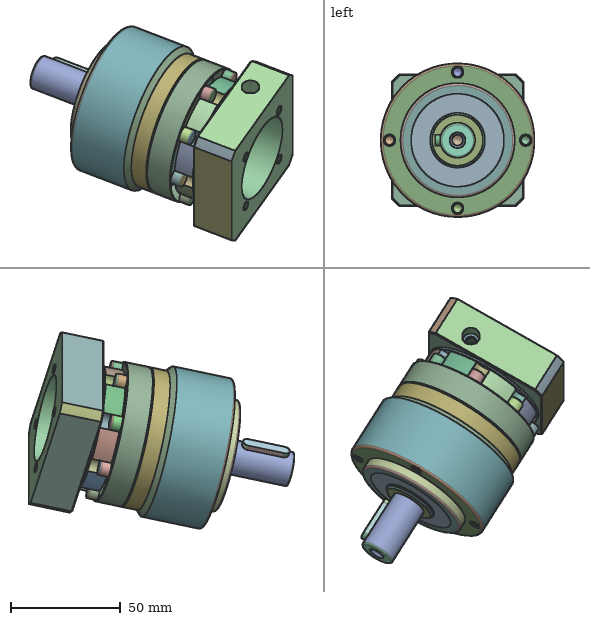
import cadquery as cq
import math


shaft_radius = 8.0
shaft_fillet = 0.8
collar_x = 28.3
collar_radius = 12.5
collar_chamfer = 0.9
disc_radius = 21.1
center_mouth_radius = 3.6
center_drill_radius = 2.4
center_drill_depth = 12.7

key_width = 5.0
key_height = 5.0
key_start_x = 2.9
key_length = 22.0
key_top_y = 10.0

pilot_x = 30.0
pilot_radius = 26.0
pilot_fillet = 1.0
flange_x = 34.9
flange_radius = 35.0
flange_fillet = 1.0
taper_x = 62.5
waist_radius = 32.5
joint_x = 72.9
edge_chamfer = 0.3
mount_hole_circle = 31.0
mount_hole_radius = 2.1
mount_hole_mouth_radius = 2.7
mount_hole_depth = 11.5
mount_hole_count = 4

rear_flange_end_x = 85.0
hub_radius = 28.5
hub_end_x = 94.5
screw_count = 8
screw_circle = 28.6
screw_head_radius = 3.5
screw_head_length = 5.0
screw_head_fillet = 0.6
pocket_radius = 3.6

plate_x = 95.5
plate_end_x = 115.2
plate_width = 60.1
plate_corner_radius = 40.0
plate_edge_chamfer = 0.5
bore_radius = 20.0
boss_radius = 2.2
boss_spacing = 32.6
overall_length = 115.5

access_x = 102.9
access_y = 11.9
access_radius = 4.0
access_floor_z = 22.0
access_step_radius = 2.7
access_step_depth = 1.2
access_drill_radius = 2.1

DRILL_POINT_ANGLE = 118
CENTER_CONE_ANGLE = 60
COUNTERSINK_ANGLE = 90


def cone_length(radius_drop, full_angle):
    """Axial length over which a cone of the given full angle loses radius_drop."""
    return radius_drop / math.tan(math.radians(full_angle / 2))


def revolved(profile):
    """Turn a closed outline of (x, radius) points about the X axis."""
    return cq.Workplane("XY").polyline(profile).close().revolve(360, (0, 0, 0), (1, 0, 0))


def rod(start_x, length, radius):
    """Cylinder on the gearbox axis."""
    return cq.Workplane("YZ", origin=(start_x, 0, 0)).circle(radius).extrude(length)


def drilled_hole(start_x, mouth_radius, mouth_angle, drill_radius, depth):
    """Blind hole along X with a conical mouth and a drill-point bottom."""
    mouth_length = cone_length(mouth_radius - drill_radius, mouth_angle)
    point_length = cone_length(drill_radius, DRILL_POINT_ANGLE)
    return revolved([
        (start_x, 0),
        (start_x, mouth_radius),
        (start_x + mouth_length, drill_radius),
        (start_x + depth, drill_radius),
        (start_x + depth + point_length, 0),
    ])


def around_axis(shape, radius, count):
    """Copies of a shape moved out to +Z by radius, spaced evenly around the X axis."""
    moved = shape.translate((0, 0, radius))
    return [moved.rotate((0, 0, 0), (1, 0, 0), i * 360 / count) for i in range(count)]


def make_key():
    key_bottom_y = key_top_y - key_height
    center_x = key_start_x + key_length / 2
    return (
        cq.Workplane("XZ", origin=(center_x, key_bottom_y, 0))
        .slot2D(key_length, key_width)
        .extrude(-key_height)
    )


def make_shaft(key):
    tip = rod(0, collar_x, shaft_radius).faces("<X").edges().fillet(shaft_fillet)
    collar = rod(collar_x, pilot_x - collar_x, collar_radius)
    collar = collar.faces("<X").edges().chamfer(collar_chamfer)
    disc = rod(pilot_x, flange_x - pilot_x, disc_radius)
    center_hole = drilled_hole(
        0, center_mouth_radius, CENTER_CONE_ANGLE, center_drill_radius, center_drill_depth
    )
    return disc.union(collar).union(tip).cut(center_hole).cut(key)


def make_front_housing():
    pilot_length = flange_x - pilot_x
    pilot = rod(pilot_x, pilot_length, pilot_radius).faces("<X").edges().fillet(pilot_fillet)
    flange = revolved([
        (flange_x, 0),
        (flange_x, flange_radius),
        (taper_x, flange_radius),
        (taper_x + flange_radius - waist_radius, waist_radius),
        (joint_x - edge_chamfer, waist_radius),
        (joint_x, waist_radius - edge_chamfer),
        (joint_x, 0),
    ])
    flange = flange.faces("<X").edges().fillet(flange_fillet)
    disc_recess = rod(pilot_x, pilot_length, disc_radius)
    housing = flange.union(pilot).cut(disc_recess)
    hole = drilled_hole(
        flange_x, mount_hole_mouth_radius, COUNTERSINK_ANGLE, mount_hole_radius, mount_hole_depth
    )
    for mount_hole in around_axis(hole, mount_hole_circle, mount_hole_count):
        housing = housing.cut(mount_hole)
    return housing


def make_rear_housing():
    housing = revolved([
        (joint_x, 0),
        (joint_x, waist_radius - edge_chamfer),
        (joint_x + edge_chamfer, waist_radius),
        (rear_flange_end_x - edge_chamfer, waist_radius),
        (rear_flange_end_x, waist_radius - edge_chamfer),
        (rear_flange_end_x, hub_radius),
        (hub_end_x - edge_chamfer, hub_radius),
        (hub_end_x, hub_radius - edge_chamfer),
        (hub_end_x, 0),
    ])
    pocket = rod(rear_flange_end_x, hub_end_x - rear_flange_end_x, pocket_radius)
    for screw_pocket in around_axis(pocket, screw_circle, screw_count):
        housing = housing.cut(screw_pocket)
    head = rod(rear_flange_end_x, screw_head_length, screw_head_radius)
    head = head.faces(">X").edges().fillet(screw_head_fillet)
    for screw_head in around_axis(head, screw_circle, screw_count):
        housing = housing.union(screw_head)
    return housing


def make_access_hole():
    """Stepped hole from the top of the plate down into its bore."""
    step_floor_z = access_floor_z - access_step_depth
    steps = [
        (access_radius, access_floor_z, plate_width / 2),
        (access_step_radius, step_floor_z, access_floor_z),
        (access_drill_radius, 0, step_floor_z),
    ]
    hole = cq.Workplane("XY")
    for radius, bottom_z, top_z in steps:
        step = cq.Workplane("XY", origin=(access_x, access_y, bottom_z))
        hole = hole.union(step.circle(radius).extrude(top_z - bottom_z))
    return hole


def make_adapter_plate():
    plate_thickness = plate_end_x - plate_x
    square = cq.Workplane("YZ", origin=(plate_x, 0, 0)).rect(plate_width, plate_width)
    plate = square.extrude(plate_thickness)
    plate = plate.intersect(rod(plate_x, plate_thickness, plate_corner_radius))
    plate = plate.faces("<X").chamfer(plate_edge_chamfer)
    neck = rod(hub_end_x, plate_x - hub_end_x, hub_radius)
    bosses = (
        cq.Workplane("YZ", origin=(plate_end_x, 0, 0))
        .rarray(boss_spacing, boss_spacing, 2, 2)
        .circle(boss_radius)
        .extrude(overall_length - plate_end_x)
    )
    bore = rod(hub_end_x, plate_end_x - hub_end_x, bore_radius)
    return plate.union(neck).union(bosses).cut(bore).cut(make_access_hole())


key = make_key()
shaft = make_shaft(key)
front_housing = make_front_housing()
rear_housing = make_rear_housing()
adapter_plate = make_adapter_plate()

result = cq.Compound.makeCompound([
    shaft.val(),
    key.val(),
    front_housing.val(),
    rear_housing.val(),
    adapter_plate.val(),
])